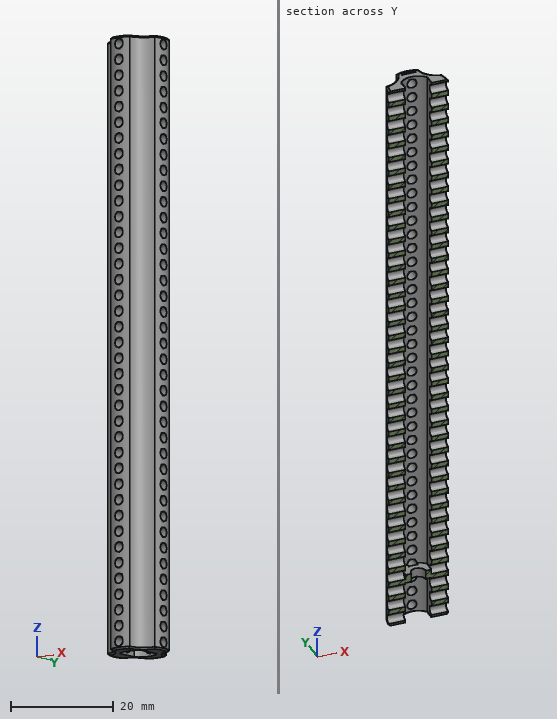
import cadquery as cq

length = 121.9
body_diameter = 12.5

flute_radius = 3.9
flute_offset = 6.2

end_chamfer = 0.4

bore_diameter = 7.1
flat_distance = 5.5

web_bottom = 9.0
web_top = 11.0
screw_hole_diameter = 3.0

holes_per_row = 39
radial_hole_diameter = 2.0
hole_pitch = length / holes_per_row

groove_length = 2.8
groove_width = 0.2
groove_depth = 0.2
groove_y = 5.1


def fluted_body():
    corners = [(sx * flute_offset, sy * flute_offset) for sx in (-1, 1) for sy in (-1, 1)]
    body = cq.Workplane("XY").circle(body_diameter / 2).extrude(length)
    flutes = cq.Workplane("XY").pushPoints(corners).circle(flute_radius).extrude(length)
    return body.cut(flutes).faces("<Z or >Z").chamfer(end_chamfer)


def bore_section(bottom, top):
    """Stretch of the flat-sided bore between two heights."""
    floor = cq.Workplane("XY", origin=(0, 0, bottom))
    round_bore = floor.circle(bore_diameter / 2).extrude(top - bottom)
    between_flats = floor.rect(flat_distance, bore_diameter).extrude(top - bottom)
    return round_bore.intersect(between_flats)


def radial_holes():
    """Rows of holes on all four lobes, each ending at the depth of the bore flats."""
    depth = (body_diameter - flat_distance) / 2
    centers = [(0, (i + 0.5) * hole_pitch) for i in range(holes_per_row)]
    row = (
        cq.Workplane("XZ", origin=(0, -flat_distance / 2, 0))
        .pushPoints(centers)
        .circle(radial_hole_diameter / 2)
        .extrude(depth)
    )
    rows = cq.Workplane("XY")
    for quarter in range(4):
        rows = rows.add(row.rotate((0, 0, 0), (0, 0, 1), 90 * quarter))
    return rows.combine()


index_groove = (
    cq.Workplane("XY", origin=(0, groove_y, length))
    .rect(groove_length, groove_width)
    .extrude(-groove_depth)
)

screw_hole = cq.Workplane("XY").circle(screw_hole_diameter / 2).extrude(length)

result = (
    fluted_body()
    .cut(bore_section(0, web_bottom))
    .cut(bore_section(web_top, length))
    .cut(screw_hole)
    .cut(radial_holes())
    .cut(index_groove)
    .solids()
)